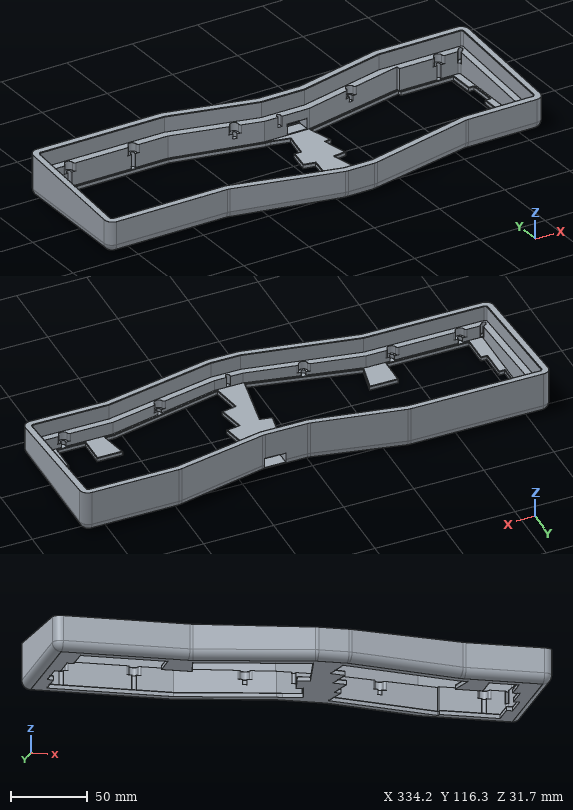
import cadquery as cq
import math

overall_length = 334.22
overall_depth = 116.28
overall_height = 31.69
right_end = 151.0
left_end = right_end - overall_length

splay_angle = 12.0
splay = math.radians(splay_angle)
front_middle_half = 11.15
front_bend_half = 91.35
back_middle_half = 16.1
back_bend_half = 81.7
front_end_y = (front_bend_half - front_middle_half) * math.tan(splay)
back_middle_y = overall_depth - (back_bend_half - back_middle_half) * math.tan(splay)

typing_angle = 5.0
wall = 4.9
ledge_inset = 9.9
opening_inset = 11.4
ledge_drop = 11.5
floor_thickness = 3.0
edge_chamfer = 0.4
floor_inset = ledge_inset - 4.0
tool_overlap = 1.0
corner_radius = 6.0
bend_radius = 10.0
base_radius = 6.0
cavity_corner_radius = 1.5

row_1_y = 47.2
row_2_y = 66.3
row_3_y = 86.2
shelf_inset = 15.5
wide_shelf_left = 20.0
wide_shelf_right = 20.5

relief_run = 12.0
relief_side = 6.0

front_pocket_stations = (-157.8, -109.1, -49.7, 53.4, 125.3)
back_pocket_stations = (-157.8, -109.1, -37.2, 54.2, 125.3)
pocket_radius = 3.0
pocket_mouth_radius = 1.6
pocket_reach = 4.2
pocket_depth = 6.0
slot_width = 3.0
slot_reach = 2.8
slot_depth = 9.5
notch_width = 2.8
middle_notch_depth = 7.5
corner_notch_depth = 8.5
front_notch_x = 0.1
back_notch_x = -5.3
middle_notch_reach = 3.3
corner_notch_reach = 4.3

window_left = 0.3
window_right = 15.5
window_sill = 0.6
window_height = 7.5


def outline(inset):
    """Corner points of the outline moved inward by inset, counter-clockwise from the front left."""
    shift = inset * math.tan(splay / 2)
    left = left_end + inset
    right = right_end - inset
    front_end = front_end_y + inset
    front_middle = inset
    back_end = overall_depth - inset
    back_middle = back_middle_y - inset
    return [
        (left, front_end),
        (-front_bend_half + shift, front_end),
        (-front_middle_half + shift, front_middle),
        (front_middle_half - shift, front_middle),
        (front_bend_half - shift, front_end),
        (right, front_end),
        (right, back_end),
        (back_bend_half + shift, back_end),
        (back_middle_half + shift, back_middle),
        (-back_middle_half - shift, back_middle),
        (-back_bend_half - shift, back_end),
        (left, back_end),
    ]


def prism(points, bottom, top):
    return cq.Workplane("XY").workplane(offset=bottom).polyline(points).close().extrude(top - bottom)


def vertical_edges_at(solid, points):
    """Vertical edges of the solid that pass through the given points."""
    def on_a_point(edge):
        centre = edge.Center()
        return any(math.dist((centre.x, centre.y), point) < 0.1 for point in points)

    return solid.edges("|Z").filter(on_a_point)


def below_tilted_plane(drop):
    """Space below the sloping top, lowered by drop, rising toward the back at the typing angle."""
    slope = math.tan(math.radians(typing_angle))
    back_z = overall_height - drop
    front_z = back_z - overall_depth * slope
    margin = 10.0
    profile = [
        (-margin, -margin),
        (overall_depth + margin, -margin),
        (overall_depth + margin, back_z + margin * slope),
        (-margin, front_z - margin * slope),
    ]
    return (
        cq.Workplane("YZ")
        .workplane(offset=left_end - margin)
        .polyline(profile)
        .close()
        .extrude(overall_length + 2 * margin)
    )


def end_corners(points):
    """The four outer corners of an outline, counter-clockwise from the front left."""
    return [points[0], points[5], points[6], points[11]]


def outer_block():
    points = outline(0)
    bends = points[1:5] + points[7:11]
    block = prism(points, 0, overall_height)
    block = vertical_edges_at(block, end_corners(points)).fillet(corner_radius)
    block = vertical_edges_at(block, bends).fillet(bend_radius)
    block = block.faces("<Z").edges().fillet(base_radius)
    return block.intersect(below_tilted_plane(0))


def cavity(inset):
    """Full-height space inside the outline moved inward by inset, with rounded end corners."""
    points = outline(inset)
    hollow = prism(points, 0, overall_height)
    return vertical_edges_at(hollow, end_corners(points)).fillet(cavity_corner_radius)


def bevel_inner_edges(solid, face):
    """Chamfer the edges around the openings of a face."""
    edges = [edge for wire in face.innerWires() for edge in wire.Edges()]
    return solid.newObject(edges).chamfer(edge_chamfer)


def frame():
    """Outer wall with its inner ledge, open at the bottom inside the ledge."""
    upper = cavity(wall).cut(below_tilted_plane(ledge_drop))
    shell = outer_block().cut(upper)
    rim = shell.faces(cq.selectors.AreaNthSelector(-1)).val()
    for face in shell.faces().vals():
        if face.normalAt().z > 0.9 and face.Center().z > rim.Center().z:
            rim = face
    return bevel_inner_edges(shell, rim).cut(cavity(ledge_inset))


def key_relief(inset):
    """Corner of the right angled key block that bites into the back edge at the given inset."""
    bend_x, bend_y = outline(inset)[7]
    along_x = math.cos(splay)
    along_y = math.sin(splay)
    far_x = bend_x + relief_run * along_x
    far_y = bend_y + relief_run * along_y
    corners = [
        (bend_x, bend_y),
        (bend_x + relief_side * along_y, bend_y - relief_side * along_x),
        (far_x + relief_side * along_y, far_y - relief_side * along_x),
        (far_x, far_y),
    ]
    return prism(corners, 0, overall_height)


def floor_plate(points):
    return prism(points, 0, floor_thickness)


def side_shelf(end, inward, wide_shelf):
    """Stepped shelf along one end; inward is +1 at the left end and -1 at the right end."""
    outer_x = end + inward * floor_inset
    shelf_x = end + inward * shelf_inset
    wide_x = end + inward * wide_shelf
    front = front_end_y + floor_inset
    back = overall_depth - floor_inset
    front_part = [
        (outer_x, front),
        (wide_x, front),
        (wide_x, row_1_y),
        (shelf_x, row_1_y),
        (shelf_x, row_2_y),
        (outer_x, row_2_y),
    ]
    back_part = [(outer_x, row_3_y), (shelf_x, row_3_y), (shelf_x, back), (outer_x, back)]
    return floor_plate(front_part).union(floor_plate(back_part))


def floor_tab(straight_x, slanted_x):
    """Tab on the front edge with one square side and one side along the key columns."""
    base_y = front_end_y + floor_inset
    lean = (row_1_y - base_y) * math.tan(splay)
    foot_x = slanted_x + math.copysign(lean, straight_x - slanted_x)
    return floor_plate([(straight_x, base_y), (foot_x, base_y), (slanted_x, row_1_y), (straight_x, row_1_y)])


def bridge():
    """Stepped plate joining front and back between the two key halves."""
    front = floor_inset
    back = back_middle_y - floor_inset
    left_side = [
        (-20.7, back),
        (-20.7, 92.7),
        (-0.2, 87.7),
        (-4.4, 68.3),
        (-9.4, 68.6),
        (-12.5, 52.2),
        (-4.0, 50.6),
        (-12.0, front),
    ]
    right_side = [
        (9.6, front),
        (5.0, 31.2),
        (15.2, 33.0),
        (11.3, 51.7),
        (20.8, 52.9),
        (17.0, 72.0),
        (21.7, 72.8),
        (17.4, 92.0),
        (17.4, back),
    ]
    return floor_plate(left_side + right_side)


def floor():
    """Floor strip under the ledge with its shelves, tabs and bridge, bevelled around both openings."""
    plate = floor_plate(outline(floor_inset)).cut(floor_plate(outline(opening_inset)))
    plate = (
        plate.union(side_shelf(left_end, 1, wide_shelf_left))
        .union(side_shelf(right_end, -1, wide_shelf_right))
        .union(floor_tab(-104.5, -83.9))
        .union(floor_tab(110.5, 92.2))
        .union(bridge())
    )
    plate = plate.cut(key_relief(opening_inset))
    return bevel_inner_edges(plate, plate.faces(">Z").val())


def place(tool, position, direction):
    """Turn a tool drawn along +Y to the direction in degrees and move it to position."""
    return tool.rotate((0, 0, 0), (0, 0, 1), direction - 90).translate((*position, 0))


def sunk(tool, depth):
    """Keep the part of a cutting tool above the floor and within depth of the ledge surface."""
    return tool.cut(below_tilted_plane(ledge_drop + depth))


def round_notch(width, reach):
    """Cutting tool with a round end, reaching inward from a ledge edge at Y = 0."""
    radius = width / 2
    return (
        cq.Workplane("XY")
        .workplane(offset=floor_thickness)
        .moveTo(-radius, -tool_overlap)
        .lineTo(-radius, reach - radius)
        .threePointArc((0, reach), (radius, reach - radius))
        .lineTo(radius, -tool_overlap)
        .close()
        .extrude(overall_height)
    )


def round_pocket():
    """Round-ended cutting tool whose mouth flares out with a radius on each side."""
    flare = pocket_mouth_radius
    mouth = pocket_radius + flare
    bow = flare * (1 - math.sqrt(0.5))
    return (
        cq.Workplane("XY")
        .workplane(offset=floor_thickness)
        .moveTo(-mouth, -tool_overlap)
        .lineTo(-mouth, 0)
        .threePointArc((-pocket_radius - bow, bow), (-pocket_radius, flare))
        .threePointArc((0, pocket_reach), (pocket_radius, flare))
        .threePointArc((pocket_radius + bow, bow), (mouth, 0))
        .lineTo(mouth, -tool_overlap)
        .close()
        .extrude(overall_height)
    )


def edge_point(points, x):
    """Point at x on a polyline, and the direction in degrees pointing to its right-hand side."""
    for start, end in zip(points, points[1:]):
        if min(start[0], end[0]) <= x <= max(start[0], end[0]):
            ratio = (x - start[0]) / (end[0] - start[0])
            heading = math.degrees(math.atan2(end[1] - start[1], end[0] - start[0]))
            return (x, start[1] + ratio * (end[1] - start[1])), heading - 90


def ledge_reliefs():
    """Pockets with a deeper slot, plus plain notches, all cut into the ledge from the inside."""
    points = outline(ledge_inset)
    front_edge = points[:6]
    back_edge = points[6:]
    pocket = round_pocket()
    slot = round_notch(slot_width, slot_reach)
    middle_notch = round_notch(notch_width, middle_notch_reach)
    corner_notch = round_notch(notch_width, corner_notch_reach)
    reliefs = []
    for edge, stations in ((front_edge, front_pocket_stations), (back_edge, back_pocket_stations)):
        for x in stations:
            position, direction = edge_point(edge, x)
            on_angled_run = direction % 90 != 0
            deep_slot = place(slot, position, direction)
            reliefs.append(sunk(place(pocket, position, direction), pocket_depth))
            reliefs.append(sunk(deep_slot, slot_depth) if on_angled_run else deep_slot)
    for edge, x in ((front_edge, front_notch_x), (back_edge, back_notch_x)):
        reliefs.append(sunk(place(middle_notch, *edge_point(edge, x)), middle_notch_depth))
    for corner, direction in zip(end_corners(points), (225, 315, 45, 135)):
        reliefs.append(sunk(place(corner_notch, corner, direction), corner_notch_depth))
    return reliefs


def connector_window():
    """Rectangular passage through the back wall."""
    inner_y = back_middle_y - ledge_inset - tool_overlap
    return cq.Workplane("XY").box(
        window_right - window_left,
        overall_depth - inner_y,
        window_height,
        centered=False,
    ).translate((window_left, inner_y, floor_thickness + window_sill))


result = frame().cut(key_relief(ledge_inset)).union(floor()).cut(connector_window())
for relief in ledge_reliefs():
    result = result.cut(relief)